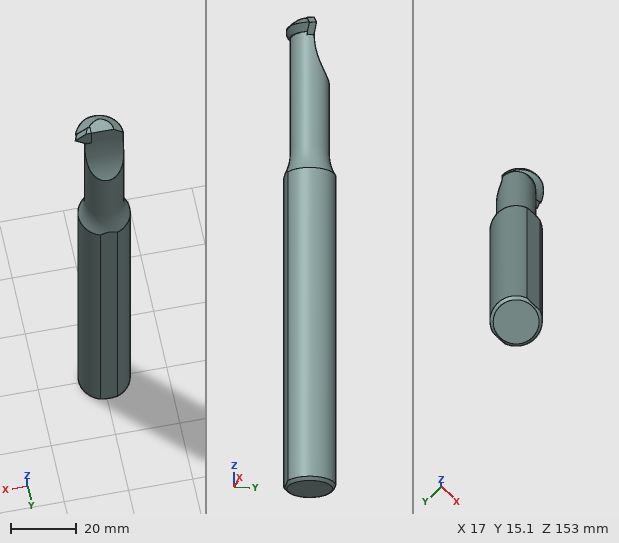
import cadquery as cq
import math

shank_radius = 8.0
flat_to_flat = 15.07
shank_top = 102.5
end_chamfer = 1.0

neck_radius = 6.0
flare_radius = 15.0
flare_rise = shank_radius - neck_radius
flare_height = math.sqrt(flare_radius**2 - (flare_radius - flare_rise)**2)
flare_top = shank_top + flare_height
flare_mid_angle = math.acos(1 - flare_rise / flare_radius) / 2

tool_length = 153.0
tip_reach = 9.0
vee_half_height = 3.0
tip_height = tool_length - vee_half_height
head_radius = (tip_reach + neck_radius) / 2
head_center_x = tip_reach - head_radius
undercut_depth = 2.0
head_bottom = tip_height - undercut_depth

relief_center = (-0.5, 1.4)
relief_radius = 9.7
relief_end_radius = 6.0

runout_radius = 20.0
runout_top = tool_length - 2 * vee_half_height

insert_inner_x = 4.0
insert_thickness = 2.1
insert_flank_run = 3.4
insert_side_relief = 0.8
insert_bottom = tip_height - vee_half_height


def revolve_profile(profile, center=(0.0, 0.0)):
    """Turn an (r, z) profile about a vertical axis through center."""
    turned = profile.close().revolve(360, (0, 0, 0), (0, 1, 0))
    return turned.translate((center[0], center[1], 0))


def make_shaft():
    """Chamfered shank, concave flare and slim neck, with two flats on the shank."""
    flare_mid = (
        neck_radius + flare_radius * (1 - math.cos(flare_mid_angle)),
        flare_top - flare_radius * math.sin(flare_mid_angle),
    )
    profile = (
        cq.Workplane("XZ")
        .lineTo(-(shank_radius - end_chamfer), 0)
        .lineTo(-shank_radius, end_chamfer)
        .lineTo(-shank_radius, shank_top)
        .threePointArc((-flare_mid[0], flare_mid[1]), (-neck_radius, flare_top))
        .lineTo(-neck_radius, head_bottom)
        .lineTo(0, head_bottom)
    )
    between_flats = cq.Workplane("XY").box(
        2 * shank_radius, flat_to_flat, tool_length, centered=(True, True, False)
    )
    return revolve_profile(profile).intersect(between_flats)


def make_head():
    """Offset conical head, relieved behind the edge and undercut towards the neck."""
    blank = revolve_profile(
        cq.Workplane("XZ")
        .moveTo(0, head_bottom)
        .lineTo(-head_radius, head_bottom)
        .lineTo(-head_radius, tip_height)
        .lineTo(-(head_radius - vee_half_height), tool_length)
        .lineTo(0, tool_length),
        (head_center_x, 0),
    )
    relief = revolve_profile(
        cq.Workplane("XZ")
        .moveTo(0, insert_bottom)
        .lineTo(-relief_end_radius, insert_bottom)
        .lineTo(-relief_radius, tip_height)
        .lineTo(-relief_end_radius, tool_length)
        .lineTo(0, tool_length),
        relief_center,
    )
    undercut = revolve_profile(
        cq.Workplane("XZ")
        .moveTo(0, head_bottom)
        .lineTo(-neck_radius, head_bottom)
        .lineTo(-tip_reach, tip_height)
        .lineTo(-tip_reach, tool_length)
        .lineTo(0, tool_length),
    )
    return blank.intersect(relief).intersect(undercut)


def make_cutaway():
    """Space behind the cutting face, running out of the neck along an arc."""
    runout_end = (runout_radius, runout_top - runout_radius)
    runout_mid = (
        runout_radius * (1 - math.sqrt(0.5)),
        runout_top - runout_radius * math.sqrt(0.5),
    )
    return (
        cq.Workplane("YZ")
        .moveTo(0, tool_length)
        .lineTo(0, runout_top)
        .threePointArc(runout_mid, runout_end)
        .lineTo(runout_radius, tool_length)
        .close()
        .extrude(runout_radius, both=True)
    )


def make_insert_pocket():
    """Corner seat open to the tip side, the top and the cutting face."""
    return cq.Workplane("XY").box(
        tip_reach, insert_thickness, tool_length - insert_bottom, centered=False
    ).translate((insert_inner_x, -insert_thickness, insert_bottom))


def make_holder():
    return make_shaft().union(make_head()).cut(make_cutaway()).cut(make_insert_pocket())


def make_insert():
    """V-pointed insert whose flanks fall back from the cutting face."""

    def vee_points(reach):
        shoulder = reach - insert_flank_run
        return [
            (insert_inner_x, insert_bottom),
            (shoulder, insert_bottom),
            (reach, tip_height),
            (shoulder, tool_length),
            (insert_inner_x, tool_length),
        ]

    return (
        cq.Workplane("XZ")
        .polyline(vee_points(tip_reach))
        .close()
        .workplane(offset=insert_thickness)
        .polyline(vee_points(tip_reach - insert_side_relief))
        .close()
        .loft(ruled=True)
    )


holder = make_holder()
insert = make_insert()
result = cq.Compound.makeCompound([holder.val(), insert.val()])